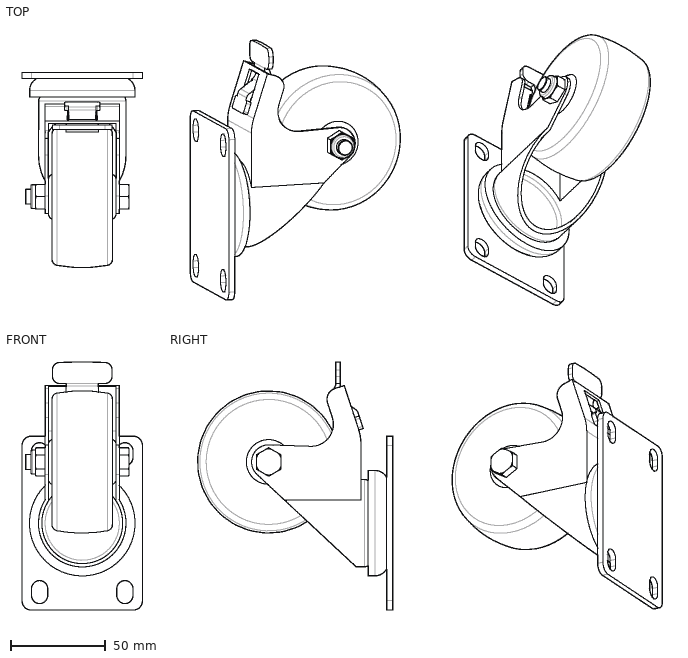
import cadquery as cq
import math


OVERALL_DEPTH = 102.86
OVERALL_HEIGHT = 130.75

PLATE_WIDTH = 63.5
PLATE_HEIGHT = 91.7
PLATE_THICKNESS = 3.3
PLATE_CORNER_RADIUS = 5.0
SLOT_WIDTH = 8.4
SLOT_HEIGHT = 12.0
SLOT_SPACING_X = 44.9
SLOT_SPACING_Z = 72.6

CUP_RADIUS = 27.8
CUP_DEPTH = 13.05
CUP_ROUND_RADIUS = 7.0
CUP_RIM_LENGTH = 3.6

SHEET = 1.75
FORK_RADIUS = 23.05
FORK_FLOOR_DEPTH = 11.55
FORK_ROUND_RADIUS = 2 * SHEET
BACK_SHEET = 1.45
FORK_HALF_WIDTH = 19.6
BACK_DEPTH = 16.7
BEND_HEIGHT = 45.2
BEND_RADIUS = 25.0
LEAN = 18.0
LEAN_LENGTH = 28.7
CHEEK_TOP_WIDTH = 11.3
CHEEK_TOP_RADIUS = 6.0
THROAT_RADIUS = 11.6
ARM_SLOPE = 2.0
UNDERSIDE_SLOPE = 43.0
NOSE_RADIUS = 9.0

AXLE_DEPTH = 65.4
AXLE_HEIGHT = 32.2
BOLT_RADIUS = 4.0
BOLT_END_X = -29.9
BOLT_END_CHAMFER = 0.3
HEX_ACROSS_FLATS = 13.0
HEX_THICKNESS = 5.05
HEX_CHAMFER_LENGTH = 0.4
HEX_CHAMFER_DEPTH = 0.7
COLLAR_RADIUS = 6.3
COLLAR_LENGTH = 2.45
COLLAR_ROUND_RADIUS = 0.8

WHEEL_RADIUS = OVERALL_DEPTH - AXLE_DEPTH
WHEEL_HALF_WIDTH = 16.0
CROWN_RADIUS = 73.0
TREAD_ROUND_RADIUS = 3.4
HUB_RADIUS = 12.0
HUB_ROUND_RADIUS = HUB_RADIUS - NOSE_RADIUS

PEDAL_SHEET = 2.5
TAB_HALF_WIDTH = 15.75
TAB_BOTTOM = 73.4
TAB_SIDE_TOP = 84.4
TAB_TOP = OVERALL_HEIGHT - PLATE_HEIGHT / 2
TAB_CORNER_RADIUS = 3.9
TAB_DEPTH = 28.85
ROLL_HALF_WIDTH = 8.5
ROLL_RADIUS = 6.0
ROLL_LEAN = 29.0
ROLL_FLARE_RADIUS = 3.55
TONGUE_SLOPE = 35.0
NECK_HALF_WIDTH = 7.2
HUMP_RADIUS = 2.8
FOOT_HALF_WIDTH = 9.25
FOOT_BOTTOM = 49.4
FOOT_LENGTH = 7.0
FOOT_CORNER_RADIUS = 1.25

WINDOW_HALF_WIDTH = 7.8
WINDOW_BOTTOM = 55.0
WINDOW_TOP = 70.1

HALF_TURN = 180.0


def heading(angle):
    """Unit vector at an angle in degrees, measured from the depth axis towards +Z."""
    return cq.Vector(math.cos(math.radians(angle)), math.sin(math.radians(angle)))


def meet(point_a, angle_a, point_b, angle_b):
    """Point where two lines, each given by a point and an angle, cross."""
    along = heading(angle_a)
    normal = heading(angle_b + 90)
    return point_a + along * ((point_b - point_a).dot(normal) / along.dot(normal))


def turn(start, angle, radius, sweep):
    """Middle and end of an arc leaving start at an angle; a positive sweep turns to the left."""
    side = math.copysign(90, sweep)
    centre = start + heading(angle + side) * radius
    middle = centre + heading(angle - side + sweep / 2) * radius
    end = centre + heading(angle - side + sweep) * radius
    return middle, end


def side_plane():
    """Plane across X with depth as its first axis and Z as its second."""
    return cq.Workplane(cq.Plane(origin=(0, 0, 0), xDir=(0, -1, 0), normal=(-1, 0, 0)))


def face_plane(depth):
    """Plane parallel to the mounting plate at a depth, extruding away from the plate."""
    return cq.Workplane("XZ", origin=(0, -depth, 0))


def axle_plane(x):
    """Plane across the axle at x, extruding towards +X, with Z as its first axis."""
    origin = (x, -AXLE_DEPTH, AXLE_HEIGHT)
    return cq.Workplane(cq.Plane(origin=origin, xDir=(0, 0, 1), normal=(1, 0, 0)))


def block(half_width, depth_range, z_range):
    """Box centred on X between two depths and two heights."""
    return (
        side_plane()
        .moveTo(depth_range[0], z_range[0])
        .lineTo(depth_range[1], z_range[0])
        .lineTo(depth_range[1], z_range[1])
        .lineTo(depth_range[0], z_range[1])
        .close()
        .extrude(half_width, both=True)
    )



def make_plate():
    return (
        face_plane(0)
        .rect(PLATE_WIDTH, PLATE_HEIGHT)
        .extrude(PLATE_THICKNESS)
        .edges("|Y")
        .fillet(PLATE_CORNER_RADIUS)
        .faces("<Y")
        .workplane(origin=(0, 0, 0))
        .rect(SLOT_SPACING_X, SLOT_SPACING_Z, forConstruction=True)
        .vertices()
        .slot2D(SLOT_HEIGHT, SLOT_WIDTH, 90)
        .cutThruAll()
    )


def make_cup():
    rim_depth = CUP_DEPTH - CUP_RIM_LENGTH
    round_rise = rim_depth - PLATE_THICKNESS
    round_centre = cq.Vector(CUP_RADIUS - CUP_ROUND_RADIUS, rim_depth)
    start_angle = -math.degrees(math.asin(round_rise / CUP_ROUND_RADIUS))
    start = round_centre + heading(start_angle) * CUP_ROUND_RADIUS
    middle = round_centre + heading(start_angle / 2) * CUP_ROUND_RADIUS
    return (
        cq.Workplane(cq.Plane(origin=(0, 0, 0), xDir=(1, 0, 0), normal=(0, 0, -1)))
        .moveTo(0, PLATE_THICKNESS)
        .lineTo(start.x, start.y)
        .threePointArc(middle.toTuple()[:2], (CUP_RADIUS, rim_depth))
        .lineTo(CUP_RADIUS, CUP_DEPTH)
        .lineTo(0, CUP_DEPTH)
        .close()
        .revolve(360, (0, 0), (0, 1))
    )


AXLE = cq.Vector(AXLE_DEPTH, AXLE_HEIGHT)
BEND = cq.Vector(BACK_DEPTH, BEND_HEIGHT)
WALL_ANGLE = 90 - LEAN
UNDERSIDE_POINT = AXLE + heading(UNDERSIDE_SLOPE - 90) * NOSE_RADIUS
CHEEK_BOTTOM = math.sqrt(FORK_RADIUS**2 - FORK_HALF_WIDTH**2)


def underside_at(height):
    """Point of the fork's sloping lower edge at a height."""
    return meet(UNDERSIDE_POINT, UNDERSIDE_SLOPE, cq.Vector(0, height), 0)


def make_cheeks():
    """Solid block with the outline of the fork's two flat cheeks."""
    top_back = BEND + heading(WALL_ANGLE) * LEAN_LENGTH
    top_front = top_back + heading(-LEAN) * CHEEK_TOP_WIDTH
    arm_point = AXLE + heading(ARM_SLOPE + 90) * NOSE_RADIUS
    throat = meet(top_front, WALL_ANGLE, arm_point, ARM_SLOPE)
    nose = meet(arm_point, ARM_SLOPE, UNDERSIDE_POINT, UNDERSIDE_SLOPE)
    bottom_front = underside_at(CHEEK_BOTTOM)
    bottom_back = cq.Vector(BACK_DEPTH, CHEEK_BOTTOM)
    corners = [bottom_back, BEND, top_back, top_front, throat, nose, bottom_front]
    cheeks = (
        side_plane()
        .polyline([corner.toTuple()[:2] for corner in corners])
        .close()
        .extrude(FORK_HALF_WIDTH, both=True)
    )
    rounds = [
        (BEND, BEND_RADIUS),
        (top_front, CHEEK_TOP_RADIUS),
        (throat, THROAT_RADIUS),
        (nose, NOSE_RADIUS),
    ]
    for corner, radius in rounds:
        edge_point = (0, -corner.x, corner.y)
        cheeks = cheeks.edges(cq.NearestToPointSelector(edge_point)).fillet(radius)
    return cheeks


def make_barrel():
    """Round lower part of the fork, cut off along the sloping lower edge."""
    barrel_end = underside_at(CHEEK_BOTTOM)
    foot = underside_at(-FORK_RADIUS)
    back_inside = BACK_DEPTH + BACK_SHEET
    barrel = (
        face_plane(FORK_FLOOR_DEPTH)
        .circle(FORK_RADIUS)
        .extrude(AXLE_DEPTH)
        .faces(">Y")
        .edges()
        .fillet(FORK_ROUND_RADIUS)
    )
    outline = (
        side_plane()
        .moveTo(FORK_FLOOR_DEPTH, -FORK_RADIUS)
        .lineTo(foot.x, foot.y)
        .lineTo(barrel_end.x, barrel_end.y)
        .lineTo(back_inside, CHEEK_BOTTOM)
        .lineTo(back_inside, FORK_RADIUS)
        .lineTo(FORK_FLOOR_DEPTH, FORK_RADIUS)
        .close()
        .extrude(FORK_RADIUS, both=True)
    )
    return barrel.intersect(outline)


def make_fork_cavity():
    """Space inside the sheet: a round pocket below and a bent channel above."""
    pocket = (
        face_plane(FORK_FLOOR_DEPTH + SHEET)
        .circle(FORK_RADIUS - SHEET)
        .extrude(AXLE_DEPTH)
        .faces(">Y")
        .edges()
        .fillet(FORK_ROUND_RADIUS - SHEET)
    )
    lean_start = BEND + heading(-LEAN) * BACK_SHEET
    bend_inside = meet(lean_start, WALL_ANGLE, cq.Vector(BACK_DEPTH + BACK_SHEET, 0), 90)
    top = bend_inside + heading(WALL_ANGLE) * (2 * LEAN_LENGTH)
    front = AXLE_DEPTH + 2 * NOSE_RADIUS
    channel = (
        side_plane()
        .moveTo(bend_inside.x, 0)
        .lineTo(bend_inside.x, bend_inside.y)
        .lineTo(top.x, top.y)
        .lineTo(front, top.y)
        .lineTo(front, 0)
        .close()
        .extrude(FORK_HALF_WIDTH - SHEET, both=True)
        .edges(cq.NearestToPointSelector((0, -bend_inside.x, bend_inside.y)))
        .fillet(BEND_RADIUS - BACK_SHEET)
    )
    return pocket.union(channel)


def make_window():
    """Opening cut square through the leaning back wall."""
    bottom = meet(BEND, WALL_ANGLE, cq.Vector(0, WINDOW_BOTTOM), 0)
    top = meet(BEND, WALL_ANGLE, cq.Vector(0, WINDOW_TOP), 0)
    through = heading(-LEAN) * (2 * BACK_SHEET)
    corners = [bottom - through, bottom + through, top + through, top - through]
    return (
        side_plane()
        .polyline([corner.toTuple()[:2] for corner in corners])
        .close()
        .extrude(WINDOW_HALF_WIDTH, both=True)
    )


def make_fork():
    return make_cheeks().union(make_barrel()).cut(make_fork_cavity()).cut(make_window())


def make_hex(x, outer_side):
    """Hexagon with two corners up and down, starting at x, its corners eased on one side."""
    across_corners = HEX_ACROSS_FLATS / math.cos(math.radians(30))
    easing = (
        axle_plane(x)
        .circle(across_corners / 2)
        .extrude(HEX_THICKNESS)
        .faces(outer_side)
        .edges()
        .chamfer(HEX_CHAMFER_LENGTH, HEX_CHAMFER_DEPTH)
    )
    return axle_plane(x).polygon(6, across_corners).extrude(HEX_THICKNESS).intersect(easing)


def make_axle():
    """Bolt with its head at +X and a collared lock nut at -X."""
    nut_x = -FORK_HALF_WIDTH - HEX_THICKNESS
    shank = (
        axle_plane(BOLT_END_X)
        .circle(BOLT_RADIUS)
        .extrude(FORK_HALF_WIDTH - BOLT_END_X)
        .faces("<X")
        .chamfer(BOLT_END_CHAMFER)
    )
    collar = (
        axle_plane(nut_x - COLLAR_LENGTH)
        .circle(COLLAR_RADIUS)
        .extrude(COLLAR_LENGTH)
        .faces("<X")
        .edges()
        .fillet(COLLAR_ROUND_RADIUS)
    )
    head = make_hex(FORK_HALF_WIDTH, ">X")
    nut = make_hex(nut_x, "<X")
    return shank.union(head).union(nut).union(collar)


def make_frame():
    return make_plate().union(make_cup()).union(make_fork()).union(make_axle())



def make_wheel():
    """Crowned wheel with a rounded hub end on each side, bored for the axle bolt."""
    crown_drop = CROWN_RADIUS - math.sqrt(CROWN_RADIUS**2 - WHEEL_HALF_WIDTH**2)
    edge_radius = WHEEL_RADIUS - crown_drop
    hub_end_x = FORK_HALF_WIDTH - SHEET
    tyre = (
        cq.Workplane("XZ", origin=(0, -AXLE_DEPTH, AXLE_HEIGHT))
        .moveTo(-WHEEL_HALF_WIDTH, 0)
        .lineTo(-WHEEL_HALF_WIDTH, edge_radius)
        .threePointArc((0, WHEEL_RADIUS), (WHEEL_HALF_WIDTH, edge_radius))
        .lineTo(WHEEL_HALF_WIDTH, 0)
        .close()
        .revolve(360, (0, 0), (1, 0))
        .faces("<X or >X")
        .edges()
        .fillet(TREAD_ROUND_RADIUS)
    )
    hub = (
        axle_plane(-hub_end_x)
        .circle(HUB_RADIUS)
        .extrude(2 * hub_end_x)
        .faces("<X or >X")
        .edges()
        .fillet(HUB_ROUND_RADIUS)
    )
    bore = axle_plane(-hub_end_x).circle(BOLT_RADIUS).extrude(2 * hub_end_x)
    return tyre.union(hub).cut(bore)



def make_tab():
    """Foot tab with rounded corners and a slightly crowned top."""
    back = TAB_DEPTH - PEDAL_SHEET / 2
    return (
        face_plane(back)
        .moveTo(-TAB_HALF_WIDTH, TAB_BOTTOM)
        .lineTo(-TAB_HALF_WIDTH, TAB_SIDE_TOP)
        .threePointArc((0, TAB_TOP), (TAB_HALF_WIDTH, TAB_SIDE_TOP))
        .lineTo(TAB_HALF_WIDTH, TAB_BOTTOM)
        .close()
        .extrude(PEDAL_SHEET)
        .edges("|Y")
        .fillet(TAB_CORNER_RADIUS)
    )


def make_tongue():
    """Sheet that rolls under the tab, passes back through the window and down the back wall."""
    start = cq.Vector(TAB_DEPTH, TAB_BOTTOM)
    flare_mid, flare_end = turn(start, -90, ROLL_FLARE_RADIUS, ROLL_LEAN)
    roll_sweep = -(ROLL_LEAN + 90 - TONGUE_SLOPE)
    roll_mid, roll_end = turn(flare_end, ROLL_LEAN - 90, ROLL_RADIUS, roll_sweep)

    foot_line = BEND + heading(HALF_TURN - LEAN) * (PEDAL_SHEET / 2)
    hump_corner = meet(roll_end, TONGUE_SLOPE, foot_line, WALL_ANGLE)
    hump_sweep = WALL_ANGLE - TONGUE_SLOPE
    hump_tangent = HUMP_RADIUS * math.tan(math.radians(hump_sweep / 2))
    hump_start = hump_corner + heading(TONGUE_SLOPE) * hump_tangent
    hump_mid, hump_end = turn(hump_start, TONGUE_SLOPE + HALF_TURN, HUMP_RADIUS, hump_sweep)
    foot_end = meet(foot_line, WALL_ANGLE, cq.Vector(BACK_DEPTH, FOOT_BOTTOM), -LEAN)

    path = (
        side_plane()
        .moveTo(start.x, start.y)
        .threePointArc(flare_mid.toTuple()[:2], flare_end.toTuple()[:2])
        .threePointArc(roll_mid.toTuple()[:2], roll_end.toTuple()[:2])
        .lineTo(hump_start.x, hump_start.y)
        .threePointArc(hump_mid.toTuple()[:2], hump_end.toTuple()[:2])
        .lineTo(foot_end.x, foot_end.y)
    )
    sheet = (
        cq.Workplane("XY", origin=(0, -TAB_DEPTH, TAB_BOTTOM))
        .rect(2 * FOOT_HALF_WIDTH, PEDAL_SHEET)
        .sweep(path)
    )
    wall_inside = TAB_DEPTH - PEDAL_SHEET
    roll = block(ROLL_HALF_WIDTH, (wall_inside, AXLE_DEPTH), (FOOT_BOTTOM, TAB_BOTTOM))
    neck = block(NECK_HALF_WIDTH, (BACK_DEPTH, wall_inside), (FOOT_BOTTOM, TAB_BOTTOM))
    foot_normal = heading(-LEAN)
    foot_plane = cq.Plane(
        origin=(0, -foot_end.x, foot_end.y),
        xDir=(1, 0, 0),
        normal=(0, -foot_normal.x, foot_normal.y),
    )
    foot = (
        cq.Workplane(foot_plane)
        .center(0, FOOT_LENGTH / 2)
        .sketch()
        .rect(2 * FOOT_HALF_WIDTH, FOOT_LENGTH)
        .vertices()
        .fillet(FOOT_CORNER_RADIUS)
        .finalize()
        .extrude(PEDAL_SHEET, both=True)
    )
    return sheet.intersect(roll.union(neck).union(foot))


def make_pedal():
    return make_tab().union(make_tongue())


frame = make_frame()
wheel = make_wheel()
pedal = make_pedal()

bodies = [body.solids().val() for body in (frame, wheel, pedal)]
result = cq.Compound.makeCompound(bodies)